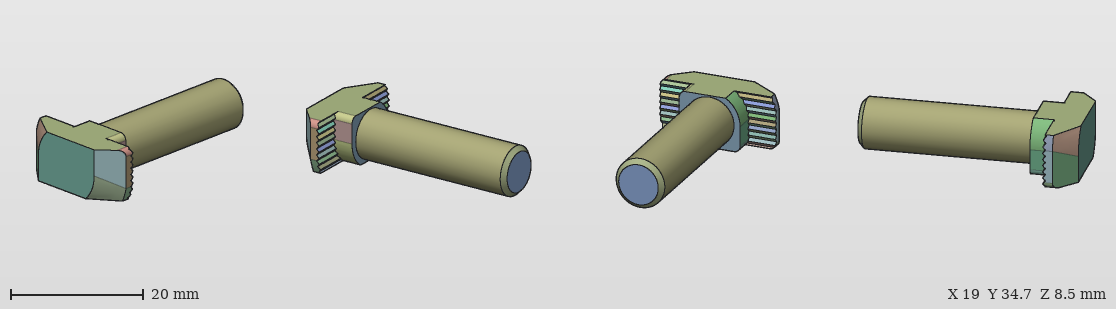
import cadquery as cq
import math

thickness = 8.5
half_thickness = thickness / 2

head_width = 19.0
head_turn_radius = 9.7
head_face_width = 11.8
taper_height = 3.2
head_height = 4.7
corner_radius = 1.0

tooth_pitch = 1.0
tooth_depth = 0.4

neck_width = 10.0
neck_length = 3.0
neck_end = head_height + neck_length
shank_diameter = 8.0
shank_length = 27.0
shank_chamfer = 0.75


def plane_at(y):
    """Sketch plane square to the bolt axis, with local axes X and Z."""
    return cq.Workplane("XZ", origin=(0, y, 0))


def turned_outline(sketch, width, turn_radius):
    """Rectangle with its -X+Z and +X-Z corners cut by an arc about the bolt axis."""
    side = width / 2
    arc_start = math.sqrt(turn_radius**2 - side**2)
    arc_end = math.sqrt(turn_radius**2 - half_thickness**2)
    middle_angle = (math.atan2(arc_start, side) + math.atan2(half_thickness, arc_end)) / 2
    middle_x = turn_radius * math.cos(middle_angle)
    middle_z = turn_radius * math.sin(middle_angle)
    return (
        sketch.moveTo(-side, arc_start)
        .threePointArc((-middle_x, middle_z), (-arc_end, half_thickness))
        .lineTo(side, half_thickness)
        .lineTo(side, -arc_start)
        .threePointArc((middle_x, -middle_z), (arc_end, -half_thickness))
        .lineTo(-side, -half_thickness)
        .close()
    )


def turned_block(width, turn_radius, y_start, y_end):
    """Block along Y with two turned corners and the other two rounded."""
    block = turned_outline(plane_at(y_end), width, turn_radius).extrude(y_end - y_start)
    inset = corner_radius / 2
    for sign in (1, -1):
        corner = (sign * width / 2, (y_start + y_end) / 2, sign * half_thickness)
        box = cq.selectors.BoxSelector(
            (corner[0] - inset, y_start - inset, corner[2] - inset),
            (corner[0] + inset, y_end + inset, corner[2] + inset),
        )
        block = block.edges("|Y").edges(box).fillet(corner_radius)
    return block


def tapered_end():
    """Ruled transition from the narrow flat face to the full head outline."""
    face_outline = turned_outline(plane_at(0), head_face_width, head_face_width / 2)
    taper = turned_outline(
        face_outline.workplane(offset=-taper_height), head_width, head_turn_radius
    )
    return taper.loft(ruled=True)


def tooth_grooves():
    """V grooves running the full head width, with one centred on the bolt axis."""
    grooves_per_side = math.ceil(half_thickness / tooth_pitch)
    outer_z = (grooves_per_side + 1 / 2) * tooth_pitch
    clear_y = head_height + tooth_depth
    profile = cq.Workplane("YZ").moveTo(clear_y, -outer_z).lineTo(head_height, -outer_z)
    for index in range(-grooves_per_side, grooves_per_side + 1):
        groove_z = index * tooth_pitch
        profile = profile.lineTo(head_height - tooth_depth, groove_z)
        profile = profile.lineTo(head_height, groove_z + tooth_pitch / 2)
    profile = profile.lineTo(clear_y, outer_z).close()
    return profile.extrude(head_width, both=True)


def head():
    full_width = turned_outline(plane_at(head_height), head_width, head_turn_radius)
    rim = full_width.extrude(head_height - taper_height)
    envelope = turned_block(head_width, head_turn_radius, 0, head_height)
    return tapered_end().union(rim).intersect(envelope).cut(tooth_grooves())


def neck():
    return turned_block(neck_width, neck_width / 2, taper_height, neck_end)


def shank():
    tip = neck_end + shank_length
    return (
        plane_at(tip)
        .circle(shank_diameter / 2)
        .extrude(shank_length)
        .faces(">Y")
        .chamfer(shank_chamfer)
    )


result = head().union(neck()).union(shank())